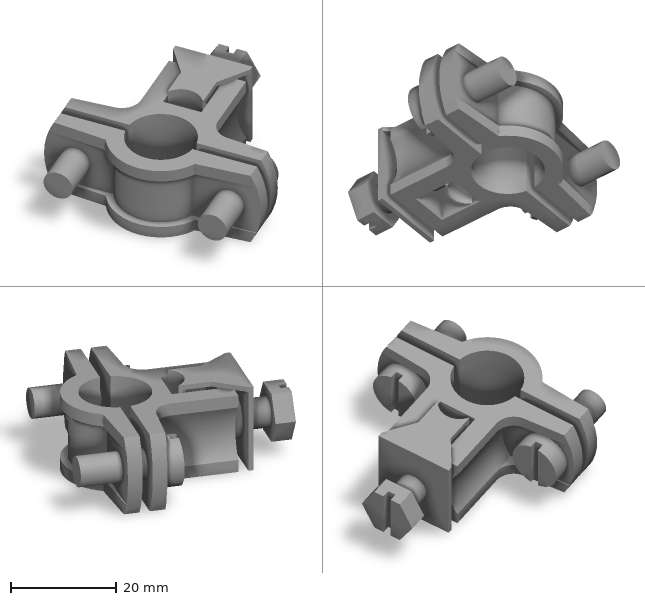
import cadquery as cq
import math


clamp_length = 45.0
clamp_height = 16.05
joint_gap = 2.0
bore_radius = 7.0
rim_radius = 10.5
barrel_radius = 9.0
ear_tip_y = 3.95
ear_root_x = 9.25
ear_root_y = 5.0
ear_end_radius = 16.0
recess_height = 11.0
column_width = 16.0
column_top_y = 22.0
column_fillet = 3.95
corner_margin = 0.45
window_width = 8.0
window_floor_y = 10.03
side_recess_depth = 2.0
end_wall_thickness = 3.0
boss_radius = 4.85
boss_centre_depth = 0.45

shank_radius = 3.0
driver_slot_width = 1.6
driver_slot_depth = 1.6
ear_screw_x = 16.0
ear_screw_tip_y = -12.2
ear_screw_head_radius = 5.0
ear_screw_top_y = 7.7
hex_flats = 10.03
hex_head_height = 4.0
hex_screw_top_y = 34.0

bracket_outer_y = 25.0
sheet_thickness = 1.0
bracket_height = 17.5
neck_y = 17.93
neck_half_width = 3.7
lip_outer_end_y = 12.1
lip_inner_end_y = 11.45
lip_inner_half_width = 3.6
lip_outer_apex_y = 14.05
lip_inner_apex_y = 13.55

clamp_half_length = clamp_length / 2
clamp_bottom_z = -clamp_height / 2
joint_y = joint_gap / 2
recess_bottom_z = -recess_height / 2
column_half_width = column_width / 2
bracket_top_z = clamp_bottom_z + bracket_height
back_plate_inner_y = bracket_outer_y - sheet_thickness


def block(x_range, y_range, z_range):
    """Box between two corners given as (low, high) ranges."""
    sizes = [high - low for low, high in (x_range, y_range, z_range)]
    return cq.Workplane("XY").box(*sizes, centered=False).translate((x_range[0], y_range[0], z_range[0]))


def rod(radius, low_y, high_y, x=0):
    """Round bar along Y."""
    return cq.Workplane("XZ", origin=(x, high_y, 0)).circle(radius).extrude(high_y - low_y)


def tube_space(radius):
    """Upright cylinder about the bore axis, as high as the clamp."""
    return cq.Workplane("XY").workplane(offset=clamp_bottom_z).circle(radius).extrude(clamp_height)


def ear_pair():
    """Tapered ears on the +Y side of the joint, full height, before the tips are rounded."""
    return (
        cq.Workplane("XY")
        .workplane(offset=clamp_bottom_z)
        .moveTo(-clamp_half_length, joint_y)
        .lineTo(clamp_half_length, joint_y)
        .lineTo(clamp_half_length, ear_tip_y)
        .lineTo(ear_root_x, ear_root_y)
        .lineTo(-ear_root_x, ear_root_y)
        .lineTo(-clamp_half_length, ear_tip_y)
        .close()
        .extrude(clamp_height)
    )


def tip_envelope(low_y, high_y):
    """Long block with rounded ends that trims the ear tips."""
    half_height = clamp_height / 2
    end_drop = ear_end_radius - math.sqrt(ear_end_radius**2 - half_height**2)
    corner_x = clamp_half_length - end_drop
    return (
        cq.Workplane("XZ", origin=(0, high_y, 0))
        .moveTo(-corner_x, -half_height)
        .lineTo(corner_x, -half_height)
        .threePointArc((clamp_half_length, 0), (corner_x, half_height))
        .lineTo(-corner_x, half_height)
        .threePointArc((-clamp_half_length, 0), (-corner_x, -half_height))
        .close()
        .extrude(high_y - low_y)
    )


def ear_recess(high_y):
    """Space between the rims, from the ear recess floor outward."""
    return block(
        (-clamp_half_length, clamp_half_length),
        (ear_tip_y, high_y),
        (recess_bottom_z, -recess_bottom_z),
    )


def cut_screw_holes(half):
    for x in (-ear_screw_x, ear_screw_x):
        half = half.cut(rod(shank_radius, -column_top_y, column_top_y, x))
    return half


def make_cap():
    """Lower half: built on the +Y side, then turned to the -Y side."""
    above_joint = block(
        (-clamp_half_length, clamp_half_length),
        (joint_y, rim_radius),
        (clamp_bottom_z, -clamp_bottom_z),
    )
    recess = ear_recess(rim_radius).cut(tube_space(barrel_radius))
    cap = ear_pair().union(tube_space(rim_radius).intersect(above_joint))
    cap = cap.intersect(tip_envelope(joint_y, rim_radius)).cut(recess).cut(tube_space(bore_radius))
    return cut_screw_holes(cap.rotate((0, 0, 0), (0, 0, 1), 180))


def column_core():
    """Column between the rims, with a hollow cylindrical surface on each side."""
    waist_x = column_half_width - side_recess_depth
    return (
        cq.Workplane("XZ", origin=(0, column_top_y, 0))
        .moveTo(-column_half_width, recess_bottom_z)
        .lineTo(column_half_width, recess_bottom_z)
        .threePointArc((waist_x, 0), (column_half_width, -recess_bottom_z))
        .lineTo(-column_half_width, -recess_bottom_z)
        .threePointArc((-waist_x, 0), (-column_half_width, recess_bottom_z))
        .close()
        .extrude(column_top_y - ear_tip_y)
    )


def end_boss():
    """Spherical zone between the column end and the bracket's back plate."""
    return (
        cq.Workplane("XY")
        .sphere(boss_radius)
        .translate((0, column_top_y - boss_centre_depth, 0))
        .intersect(rod(boss_radius, column_top_y, back_plate_inner_y))
    )


def make_saddle():
    """Upper half: ears, bore and the column with its conductor window."""
    column = block(
        (-column_half_width, column_half_width),
        (joint_y, column_top_y),
        (clamp_bottom_z, -clamp_bottom_z),
    )
    saddle = ear_pair().union(column)
    inner_corners = cq.selectors.BoxSelector(
        (-column_half_width - corner_margin, ear_root_y - corner_margin, clamp_bottom_z),
        (column_half_width + corner_margin, ear_root_y + corner_margin, -clamp_bottom_z),
    )
    saddle = saddle.edges("|Z").edges(inner_corners).fillet(column_fillet)
    saddle = saddle.intersect(tip_envelope(joint_y, column_top_y))
    saddle = saddle.cut(ear_recess(column_top_y).cut(column_core())).cut(tube_space(bore_radius))
    window = block(
        (-window_width / 2, window_width / 2),
        (window_floor_y, column_top_y - end_wall_thickness),
        (clamp_bottom_z, -clamp_bottom_z),
    )
    saddle = saddle.cut(window).union(end_boss())
    saddle = saddle.cut(rod(shank_radius, lip_outer_apex_y, back_plate_inner_y))
    return cut_screw_holes(saddle)


def driver_slot(x, top_y, half_length):
    return block(
        (x - driver_slot_width / 2, x + driver_slot_width / 2),
        (top_y - driver_slot_depth, top_y),
        (-half_length, half_length),
    )


def make_ear_screw(x):
    """Cheese-head screw that sits on the saddle's recess floor."""
    shank = rod(shank_radius, ear_screw_tip_y, ear_tip_y, x)
    head = rod(ear_screw_head_radius, ear_tip_y, ear_screw_top_y, x)
    return shank.union(head).cut(driver_slot(x, ear_screw_top_y, ear_screw_head_radius))


def make_hex_screw():
    """Hexagon screw through the back plate and the end wall, its tip against the lip."""
    head_bottom_y = hex_screw_top_y - hex_head_height
    head = (
        cq.Workplane("XZ", origin=(0, hex_screw_top_y, 0))
        .polygon(6, hex_flats / math.cos(math.pi / 6))
        .extrude(hex_head_height)
    )
    shank = rod(shank_radius, lip_outer_apex_y, head_bottom_y)
    return head.union(shank).cut(driver_slot(0, hex_screw_top_y, hex_flats / 2))


def make_bracket():
    """Back plate, tapered tongue over the column, and a curved lip down into the window."""
    back_plate = block(
        (-column_half_width, column_half_width),
        (back_plate_inner_y, bracket_outer_y),
        (clamp_bottom_z, bracket_top_z),
    ).cut(rod(shank_radius, back_plate_inner_y, bracket_outer_y))
    tongue = (
        cq.Workplane("XY")
        .workplane(offset=bracket_top_z - sheet_thickness)
        .moveTo(column_half_width, bracket_outer_y)
        .lineTo(column_half_width, back_plate_inner_y)
        .lineTo(neck_half_width, neck_y)
        .lineTo(neck_half_width, lip_outer_end_y)
        .lineTo(lip_inner_half_width, lip_inner_end_y)
        .threePointArc((0, lip_inner_apex_y), (-lip_inner_half_width, lip_inner_end_y))
        .lineTo(-neck_half_width, lip_outer_end_y)
        .lineTo(-neck_half_width, neck_y)
        .lineTo(-column_half_width, back_plate_inner_y)
        .lineTo(-column_half_width, bracket_outer_y)
        .close()
        .extrude(sheet_thickness)
    )
    lip = (
        cq.Workplane("XY")
        .workplane(offset=clamp_bottom_z)
        .moveTo(neck_half_width, lip_outer_end_y)
        .lineTo(lip_inner_half_width, lip_inner_end_y)
        .threePointArc((0, lip_inner_apex_y), (-lip_inner_half_width, lip_inner_end_y))
        .lineTo(-neck_half_width, lip_outer_end_y)
        .threePointArc((0, lip_outer_apex_y), (neck_half_width, lip_outer_end_y))
        .close()
        .extrude(bracket_top_z - clamp_bottom_z)
    )
    return back_plate.union(tongue).union(lip)


cap = make_cap()
saddle = make_saddle()
ear_screws = [make_ear_screw(x) for x in (-ear_screw_x, ear_screw_x)]
hex_screw = make_hex_screw()
bracket = make_bracket()

result = cq.Compound.makeCompound([
    cap.val(),
    saddle.val(),
    *[screw.val() for screw in ear_screws],
    hex_screw.val(),
    bracket.val(),
])